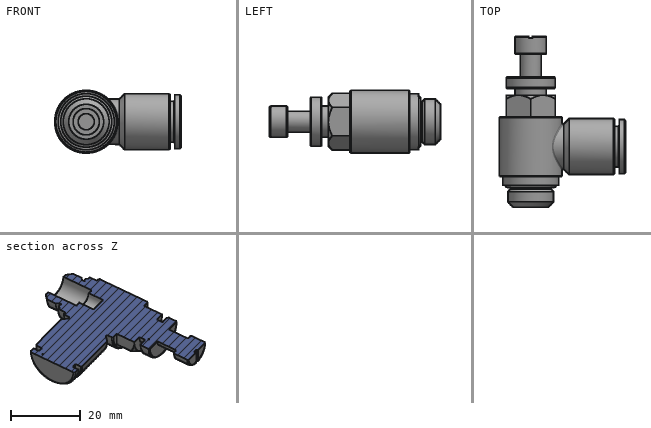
import cadquery as cq
import math

edge_chamfer = 0.35
overlap = 0.5

plug_radius = 6.55
plug_tip_radius = 5.0
plug_tip_chamfer = plug_radius - plug_tip_radius
plug_neck_radius = 5.85
plug_neck_chamfer = plug_radius - plug_neck_radius
plug_neck_bottom = 5.2
bore_radius = 3.75
bore_depth = 9.8
inner_bore_radius = 2.3
inner_bore_depth = 14.7

flange_radius = 8.05
flange_bottom = 6.3
seal_section_radius = 0.75
seal_ring_radius = 6.55
seal_height = 6.4

body_radius = 9.0
body_bottom = 8.75
body_top = 25.95

hex_across_flats = 14.1
hex_corner_radius = hex_across_flats / 2 / math.cos(math.pi / 6)
hex_top = 32.05

collar_radius = 4.5
nut_radius = hex_across_flats / 2
nut_bottom = 33.9
nut_top = 37.3
stem_radius = 3.05
head_radius = collar_radius
head_bottom = 43.7
total_length = 48.95
slot_width = 1.05
slot_depth = 0.5

branch_height = 17.4
branch_neck_radius = 6.5
branch_neck_end = 9.45
sleeve_radius = 8.05
sleeve_start = branch_neck_end + sleeve_radius - branch_neck_radius
sleeve_end = 24.0
release_neck_radius = 5.85
release_start = 25.25
release_radius = 7.8
release_end = 27.15
release_chamfer = 0.5
release_root_chamfer = 0.2
branch_fillet = 0.25


def disc(radius, bottom, top):
    """Cylinder about the Y axis between two heights."""
    profile = cq.Workplane("XY").moveTo(0, bottom).lineTo(radius, bottom).lineTo(radius, top).lineTo(0, top)
    return profile.close().revolve(360, (0, 0), (0, 1))


def chamfered_disc(radius, bottom, top):
    return disc(radius, bottom, top).faces("<Y or >Y").edges().chamfer(edge_chamfer)


def make_plug():
    points = [
        (0, 0),
        (plug_tip_radius, 0),
        (plug_radius, plug_tip_chamfer),
        (plug_radius, plug_neck_bottom - plug_neck_chamfer),
        (plug_neck_radius, plug_neck_bottom),
        (plug_neck_radius, flange_bottom + overlap),
        (0, flange_bottom + overlap),
    ]
    return cq.Workplane("XY").polyline(points).close().revolve(360, (0, 0), (0, 1))


def make_seal():
    section = cq.Workplane("XY").center(seal_ring_radius, seal_height).circle(seal_section_radius)
    return section.revolve(360, (-seal_ring_radius, 0), (-seal_ring_radius, 1))


def make_hexagon():
    """Hexagon with flats facing +X and -X, its top corners cut by a 45 degree cone."""
    hexagon = (
        cq.Workplane("XZ", origin=(0, body_top - overlap, 0))
        .transformed(rotate=(0, 0, 90))
        .polygon(6, 2 * hex_corner_radius)
        .extrude(-(hex_top - body_top + overlap))
    )
    corner_cut = hex_corner_radius - hex_across_flats / 2
    cone = disc(hex_corner_radius, body_top - overlap, hex_top).faces(">Y").edges().chamfer(corner_cut)
    return hexagon.intersect(cone)


def make_branch():
    points = [
        (0, 0),
        (0, branch_neck_radius),
        (branch_neck_end, branch_neck_radius),
        (sleeve_start, sleeve_radius),
        (sleeve_end - edge_chamfer, sleeve_radius),
        (sleeve_end, sleeve_radius - edge_chamfer),
        (sleeve_end, release_neck_radius),
        (release_start - release_root_chamfer, release_neck_radius),
        (release_start, release_neck_radius + release_root_chamfer),
        (release_start, release_radius),
        (release_end - release_chamfer, release_radius),
        (release_end, release_radius - release_chamfer),
        (release_end, 0),
    ]
    profile = cq.Workplane("XY", origin=(0, branch_height, 0)).polyline(points).close()
    return profile.revolve(360, (0, 0), (1, 0))


def make_body():
    """Round body joined to the branch by a small fillet."""
    body = chamfered_disc(body_radius, body_bottom, body_top).union(make_branch())
    reach = branch_neck_radius + branch_fillet
    joint_box = cq.selectors.BoxSelector(
        (0, branch_height - reach, -reach),
        (body_radius + branch_fillet, branch_height + reach, reach),
        boundingbox=True,
    )
    return body.edges(joint_box).fillet(branch_fillet)


def make_screw():
    collar = disc(collar_radius, hex_top - overlap, nut_bottom + overlap)
    nut = chamfered_disc(nut_radius, nut_bottom, nut_top)
    stem = disc(stem_radius, nut_top - overlap, head_bottom + overlap)
    head = chamfered_disc(head_radius, head_bottom, total_length)
    slot = cq.Workplane("XY").box(slot_width, 2 * slot_depth, 2 * head_radius)
    head = head.cut(slot.translate((0, total_length, 0)))
    return collar.union(nut).union(stem).union(head)


result = (
    make_body()
    .union(disc(flange_radius, flange_bottom, body_bottom + overlap))
    .union(make_seal())
    .union(make_plug())
    .union(make_hexagon())
    .union(make_screw())
    .cut(disc(bore_radius, 0, bore_depth))
    .cut(disc(inner_bore_radius, 0, inner_bore_depth))
)